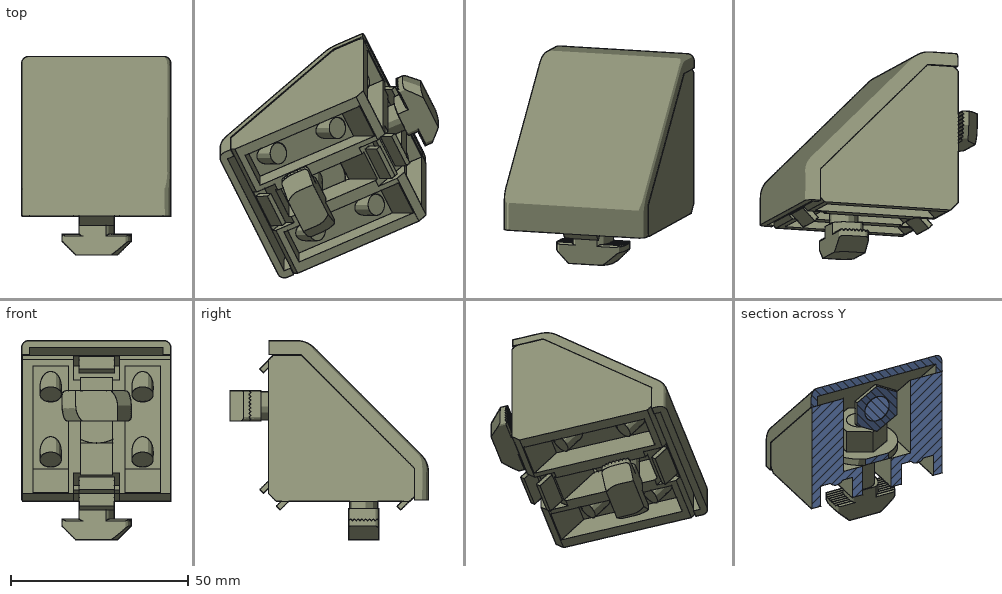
import cadquery as cq
import math


housing_width = 42.0
housing_side = 41.25
slope_sum = 50.6
heel_chamfer = 2.25
toe_chamfer = 1.25

pocket_inner_x = 7.95
pocket_outer_x = 18.0
pocket_depth = 6.6
pocket_end = 38.2
pocket_floor_offset = 2.55

peg_diameter = 6.0
peg_rise = 3.15
peg_wall_heights = (32.4, 14.0)

bolt_height = 26.95
slot_width = 9.0
slot_end = 35.0
slot_floor_offset = 6.9
seat_depth = 9.5
chamber_width = 21.4
chamber_end = 37.7

tab_width = 9.95
notch_width = 12.95
tab_length = 5.05
tab_thickness = 1.5
upper_tab_top = 39.85
lower_tab_top = 5.75
upper_notch_root = 42.05
lower_notch_root = 8.05
upper_notch_floor = 34.35
lower_notch_floor = 0.95
heel_notch_sum = 5.35

shank_diameter = 8.0
head_thickness = 8.55
neck_start = 2.1
wing_start = 4.95
taper_start = 7.0
head_end = 10.85
neck_half_length = 5.0
wing_half_length = 9.8
head_corner_radius = 1.1
tooth_count = 8

flange_diameter = 21.0
flange_thickness = 2.0
nut_height = 8.7
nut_across_corners = 15.0

cap_width = 42.2
cap_side = 45.1
cap_slope_sum = 55.85
cap_bend_radius = 7.0
cap_wall = 2.0
cap_side_wall = 2.2
cap_edge_radius = 2.0
cap_shift = (-0.1, 0.15, 0.35)
lip_side = 41.1

root_two = math.sqrt(2)


def prism(points, x_start, x_end):
    """Prism between two x positions, from points (y, z)."""
    return cq.Workplane("YZ").polyline(points).close().extrude(x_end - x_start).translate((x_start, 0, 0))


def centred_prism(points, width):
    return prism(points, -width / 2, width / 2)


def to_other_face(body):
    """Half turn about the bisector of the mounting faces, which swaps the faces."""
    return body.rotate((0, 0, 0), (0, 1, 1), 180)


def on_both_faces(body):
    return body.union(to_other_face(body))


def diagonal_point(total, difference):
    """Point (y, z) with the given y + z and z - y."""
    return ((total - difference) / 2, (total + difference) / 2)



def make_housing_block():
    points = [
        (heel_chamfer, 0),
        (housing_side - toe_chamfer, 0),
        (housing_side, toe_chamfer),
        (housing_side, slope_sum - housing_side),
        (slope_sum - housing_side, housing_side),
        (toe_chamfer, housing_side),
        (0, housing_side - toe_chamfer),
        (0, heel_chamfer),
    ]
    return centred_prism(points, housing_width)


def make_pockets():
    points = [
        (0, pocket_floor_offset),
        (pocket_depth, pocket_floor_offset + pocket_depth),
        (pocket_depth, pocket_end),
        (0, pocket_end),
    ]
    left = prism(points, -pocket_outer_x, -pocket_inner_x)
    return on_both_faces(left.union(left.mirror("YZ")))


def make_pegs():
    """Pegs square to the sloped face, rooted inside the wall behind the pocket."""
    root_length = peg_diameter / 2
    peg_x = (pocket_inner_x + pocket_outer_x) / 2
    pegs = cq.Workplane()
    for x in (-peg_x, peg_x):
        for height in peg_wall_heights:
            root = cq.Vector(x, pocket_depth + root_length / root_two, height + root_length / root_two)
            axis = cq.Vector(0, -1, -1)
            pegs = pegs.add(cq.Solid.makeCylinder(peg_diameter / 2, root_length + peg_rise, root, axis))
    return on_both_faces(pegs.combine())


def make_slots():
    points = [
        (0, slot_floor_offset),
        (seat_depth, slot_floor_offset + seat_depth),
        (seat_depth, slot_end),
        (0, slot_end),
    ]
    return on_both_faces(centred_prism(points, slot_width))


def make_chamber():
    """Room for both nuts, open through the sloped face."""
    floor_end = slot_floor_offset + seat_depth
    points = [
        (seat_depth, floor_end),
        (floor_end, seat_depth),
        (chamber_end, seat_depth),
        (chamber_end, chamber_end),
        (seat_depth, chamber_end),
    ]
    return centred_prism(points, chamber_width)


def make_upper_notch():
    points = [
        diagonal_point(upper_notch_floor, upper_notch_floor),
        diagonal_point(upper_notch_root, upper_notch_floor),
        diagonal_point(upper_notch_root, housing_side),
        (0, housing_side),
    ]
    return on_both_faces(centred_prism(points, notch_width))


def make_lower_notches():
    """Both notches at the heel, with a thin web left between them."""
    upper = [
        (0, lower_notch_root),
        diagonal_point(lower_notch_root, lower_notch_floor),
        diagonal_point(heel_notch_sum, lower_notch_floor),
        (0, heel_notch_sum),
    ]
    heel = [(0, 0), (heel_notch_sum, 0), (0, heel_notch_sum)]
    return on_both_faces(centred_prism(upper, notch_width)).union(centred_prism(heel, notch_width))


def make_tabs():
    tabs = cq.Workplane()
    for root, top in ((upper_notch_root, upper_tab_top), (lower_notch_root, lower_tab_top)):
        tip = root - tab_length * root_two
        underside = top - tab_thickness * root_two
        points = [
            diagonal_point(root, top),
            diagonal_point(tip, top),
            diagonal_point(tip, underside),
            diagonal_point(root, underside),
        ]
        tabs = tabs.add(centred_prism(points, tab_width))
    return on_both_faces(tabs.combine())


def make_housing():
    housing = make_housing_block().cut(make_pockets()).union(make_pegs())
    housing = housing.cut(make_slots()).cut(make_chamber())
    housing = housing.cut(make_upper_notch()).cut(make_lower_notches())
    return housing.union(make_tabs())



def make_bar(half_length, top, bottom):
    """Upright bar with two opposite corners rounded about the bolt axis so that it can turn in a groove."""
    half = head_thickness / 2
    arc_end = math.sqrt(half_length**2 - half**2)
    middle_angle = math.asin(half / half_length) / 2
    middle_x = half_length * math.cos(middle_angle)
    middle_y = half_length * math.sin(middle_angle)
    return (
        cq.Workplane("XY", origin=(0, 0, bottom))
        .moveTo(half_length, 0)
        .lineTo(half_length, half)
        .lineTo(-arc_end, half)
        .threePointArc((-middle_x, middle_y), (-half_length, 0))
        .lineTo(-half_length, -half)
        .lineTo(arc_end, -half)
        .threePointArc((middle_x, -middle_y), (half_length, 0))
        .close()
        .extrude(top - bottom)
    )


def make_taper():
    """Envelope that slopes the wing ends: conical at the rounded corners, flat at the others."""
    end_half_length = wing_half_length - (head_end - taper_start)
    points = [
        (0, -wing_start),
        (wing_half_length, -wing_start),
        (wing_half_length, -taper_start),
        (end_half_length, -head_end),
        (0, -head_end),
    ]
    cone = cq.Workplane("XZ").polyline(points).close().revolve(360, (0, 0, 0), (0, 1, 0))
    flat_end = cq.Workplane("XZ").polyline(points).close().extrude(-head_thickness / 2)
    opposite_end = flat_end.rotate((0, 0, 0), (0, 0, 1), 180)
    return cone.union(flat_end).union(opposite_end)


def make_tooth_grooves():
    """V grooves along the clamping faces of the wings."""
    pitch = head_thickness / tooth_count
    grooves = cq.Workplane()
    for index in range(tooth_count + 1):
        y = -head_thickness / 2 + index * pitch
        points = [
            (y - pitch / 2, -wing_start),
            (y, -wing_start - pitch / 2),
            (y + pitch / 2, -wing_start),
        ]
        grooves = grooves.add(centred_prism(points, 2 * wing_half_length))
    return grooves.combine()


def make_bolt():
    """Bolt of the lower mounting face, pointing down on the z axis."""
    neck = make_bar(neck_half_length, -neck_start, -taper_start)
    neck = neck.edges("|Z").edges(">(1, 1, 0) or <(1, 1, 0)").fillet(head_corner_radius)
    wings = make_bar(wing_half_length, -wing_start, -head_end)
    wings = wings.edges("|Z").edges(">Y or <Y").fillet(head_corner_radius)
    wings = wings.intersect(make_taper()).cut(make_tooth_grooves())
    shank_top = seat_depth + nut_height
    shank = (
        cq.Workplane("XY", origin=(0, 0, -taper_start))
        .circle(shank_diameter / 2)
        .extrude(taper_start + shank_top)
    )
    return wings.union(neck).union(shank).translate((0, bolt_height, 0))


def make_nut():
    """Flange nut of the lower mounting face, with a corner of its hexagon toward the heel."""
    seat = cq.Workplane("XY", origin=(0, bolt_height, seat_depth))
    flange = seat.circle(flange_diameter / 2).extrude(flange_thickness)
    hexagon = seat.transformed(rotate=(0, 0, 90)).polygon(6, nut_across_corners).extrude(nut_height)
    bore = seat.circle(shank_diameter / 2).extrude(nut_height)
    return flange.union(hexagon).cut(bore)



def make_cap_block(inset, width):
    """Solid under the bent cap surface, set in from the outside by the given distance."""
    side = cap_side - inset
    slope_end = cap_slope_sum - inset * root_two - side
    block = centred_prism([(0, 0), (side, 0), (side, slope_end), (slope_end, side), (0, side)], width)
    bends = block.edges("|X").edges(
        cq.selectors.BoxSelector((-width, slope_end / 2, slope_end / 2), (width, 2 * side, 2 * side))
    )
    return bends.fillet(cap_bend_radius - inset)


def make_cap():
    outside = make_cap_block(0, cap_width)
    outside = outside.edges(">X or <X").edges("not (<Y or <Z)").fillet(cap_edge_radius)
    inside = make_cap_block(cap_wall, cap_width - 2 * cap_side_wall)
    lip_slope_sum = slope_sum - cap_shift[1] - cap_shift[2]
    lip_slope_end = lip_slope_sum - lip_side
    housing_room = centred_prism(
        [(0, 0), (lip_side, 0), (lip_side, lip_slope_end), (lip_slope_end, lip_side), (0, lip_side)],
        cap_width,
    )
    return outside.cut(inside).cut(housing_room).translate(cap_shift)


housing = make_housing()
cap = make_cap()
lower_bolt = make_bolt()
lower_nut = make_nut()
bolts = [lower_bolt, to_other_face(lower_bolt)]
nuts = [lower_nut, to_other_face(lower_nut)]

result = cq.Compound.makeCompound([
    housing.val(),
    cap.val(),
    *[bolt.val() for bolt in bolts],
    *[nut.val() for nut in nuts],
])